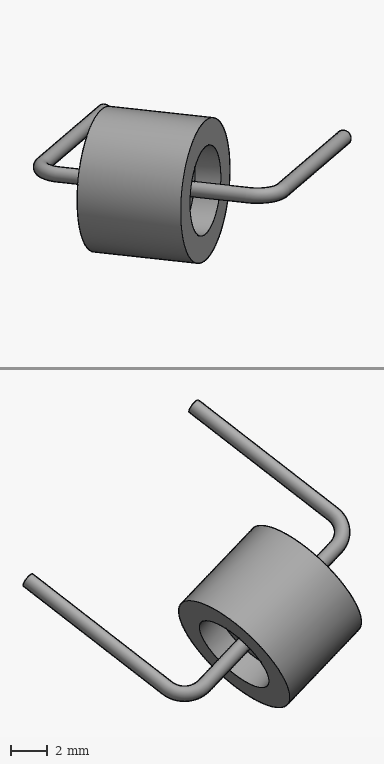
import cadquery as cq

body_diameter = 8.0
body_length = 6.0

recess_diameter = 5.0
recess_depth = 1.5

wire_diameter = 0.85
overall_width = 14.7
leg_length = 10.0
bend_radius = 1.43

lead_reach = leg_length + bend_radius
leg_x = (overall_width - wire_diameter) / 2
bend_start_x = leg_x - bend_radius


def make_body():
    """Cylinder with a blind round recess in both end faces."""
    body = (
        cq.Workplane("YZ")
        .workplane(offset=-body_length / 2)
        .circle(body_diameter / 2)
        .extrude(body_length)
    )
    for side in (-1, 1):
        recess = (
            cq.Workplane("YZ")
            .workplane(offset=side * body_length / 2)
            .circle(recess_diameter / 2)
            .extrude(-side * recess_depth)
        )
        body = body.cut(recess)
    return body


def make_wire():
    """U-shaped round wire lying in the XY plane."""
    path = (
        cq.Workplane("XY")
        .moveTo(-leg_x, lead_reach)
        .lineTo(-leg_x, bend_radius)
        .tangentArcPoint((-bend_start_x, 0), relative=False)
        .lineTo(bend_start_x, 0)
        .tangentArcPoint((leg_x, bend_radius), relative=False)
        .lineTo(leg_x, lead_reach)
    )
    section = cq.Workplane("XZ", origin=(-leg_x, lead_reach, 0)).circle(wire_diameter / 2)
    return section.sweep(path)


result = make_body().union(make_wire())